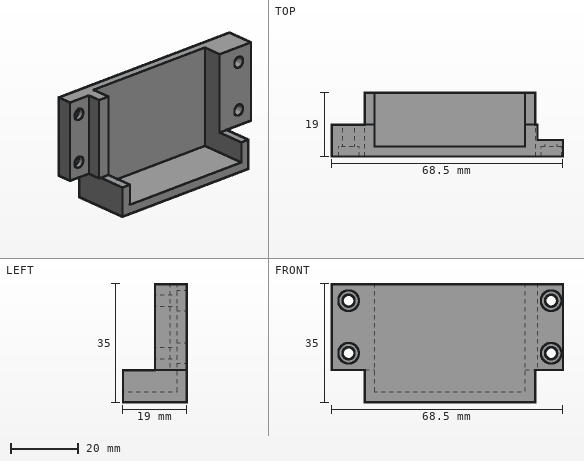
import cadquery as cq

length = 68.5
height = 35.0
base_depth = 19.0
plate_depth = 9.5

base_left = 9.7
base_right = 60.3
base_height = 9.5

wall = 3.0
pocket_left = 12.6
pocket_right = 57.3

flange_left = 60.95
flange_depth = 5.0

hole_diameter = 3.5
counterbore_diameter = 6.1
counterbore_depth = 3.0
hole_columns = (5.0, 64.95)
top_hole_drop = 4.9
hole_pitch = 15.55
upper_row = height - top_hole_drop
hole_rows = (upper_row, upper_row - hole_pitch)


def block(x_range, y_range, z_range):
    """Box spanning the given start and end on each axis."""
    spans = (x_range, y_range, z_range)
    sizes = [end - start for start, end in spans]
    corner = tuple(start for start, end in spans)
    return cq.Workplane("XY").box(*sizes, centered=False).translate(corner)


def front_cylinders(diameter, depth):
    """Cylinders at all screw positions, running back from the front face."""
    centers = [(x, z) for x in hole_columns for z in hole_rows]
    return cq.Workplane("XZ").pushPoints(centers).circle(diameter / 2).extrude(-depth)


plate = block((0, length), (0, plate_depth), (base_height, height))
base = block((base_left, base_right), (0, base_depth), (0, base_height))
pocket = block((pocket_left, pocket_right), (wall, base_depth), (wall, height))
flange_relief = block((flange_left, length), (flange_depth, plate_depth), (base_height, height))

result = plate.union(base).cut(pocket).cut(flange_relief)
result = result.cut(front_cylinders(hole_diameter, plate_depth))
result = result.cut(front_cylinders(counterbore_diameter, counterbore_depth))